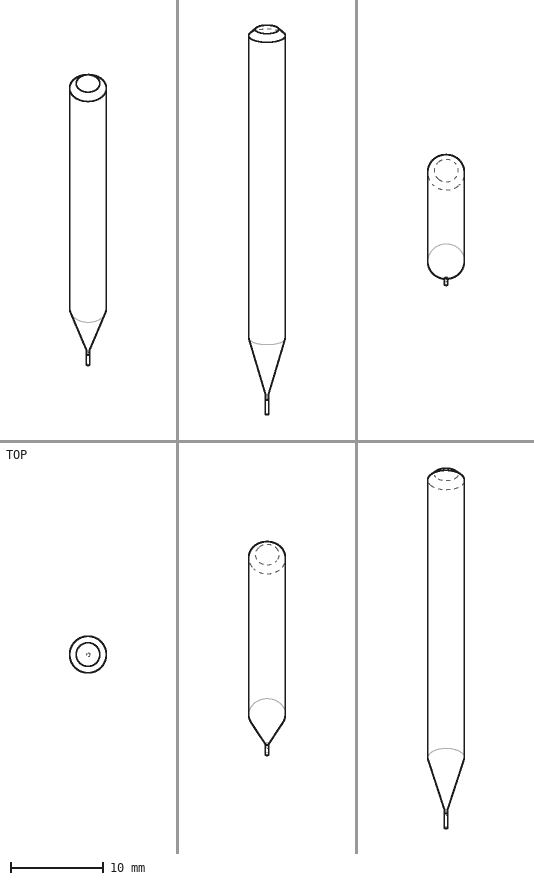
import cadquery as cq
import math

total_length = 45.0
shank_diameter = 4.0
shank_chamfer = 0.7
shank_bottom_z = 9.0
taper_bottom_z = 2.45
neck_diameter = 0.38
cutter_diameter = 0.4
cutter_length = 1.8

shank_radius = shank_diameter / 2
neck_radius = neck_diameter / 2
cutter_radius = cutter_diameter / 2


def make_holder():
    """Chamfered shank, conical taper and thin neck, revolved as one solid."""
    return (
        cq.Workplane("XZ")
        .moveTo(0, cutter_length)
        .lineTo(neck_radius, cutter_length)
        .lineTo(neck_radius, taper_bottom_z)
        .lineTo(shank_radius, shank_bottom_z)
        .lineTo(shank_radius, total_length - shank_chamfer)
        .lineTo(shank_radius - shank_chamfer, total_length)
        .lineTo(0, total_length)
        .close()
        .revolve(360, (0, 0, 0), (0, 1, 0))
    )


def make_cutter():
    """Cylindrical cutting end with a hemispherical nose, seated against the neck."""
    arc_offset = cutter_radius * math.sin(math.radians(45))
    arc_middle = (arc_offset, cutter_radius - arc_offset)
    return (
        cq.Workplane("XZ")
        .moveTo(0, 0)
        .threePointArc(arc_middle, (cutter_radius, cutter_radius))
        .lineTo(cutter_radius, cutter_length)
        .lineTo(0, cutter_length)
        .close()
        .revolve(360, (0, 0, 0), (0, 1, 0))
    )


holder = make_holder()
cutter = make_cutter()

result = cq.Compound.makeCompound([holder.val(), cutter.val()])